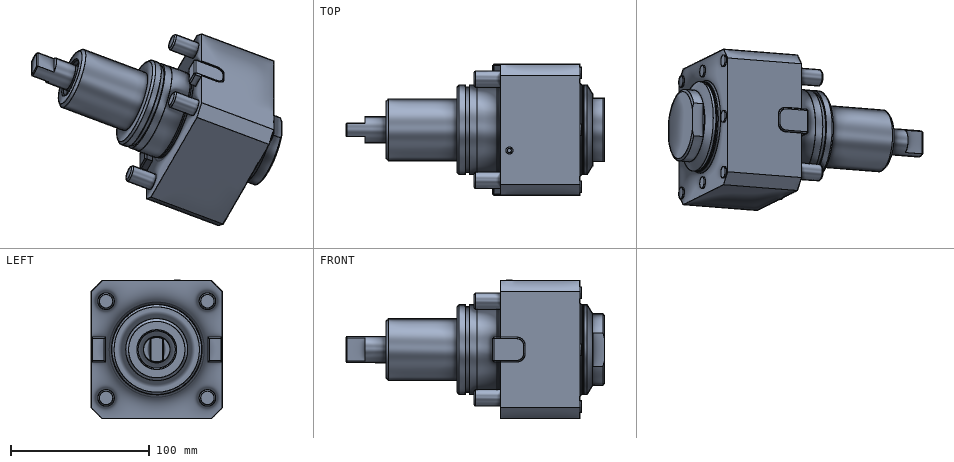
import cadquery as cq


block_x = 111.6
block_length = 57.6
block_width = 95.0
block_height = 100.0
block_chamfer = 8.0
recess_r = 34.5
recess_depth = 0.4
block_end = block_x + block_length

shaft_d = 19.0
journal_d = 19.3
blade_length = 13.7
blade_width = 9.7
blade_chamfer = 0.7

sleeve_x = 28.8
sleeve_r = 22.5
sleeve_chamfer = 2.0
bore_r = 13.5
bore_depth = 3.7
bore_chamfer = 1.0

flange_x = 80.2
flange_r = 32.5
flange_chamfer = 1.7
groove_start = 86.4
groove_end = 89.2
groove_r = 31.0
seat_x = 94.8
seat_r = 32.7
seat_end = 109.4
neck_x = 110.7
neck_r = 32.2

stud_x = 92.5
stud_d = 12.0
stud_chamfer = 1.1
stud_y = 36.7
stud_z = 35.0

key_x = 106.0
key_length = 23.5
key_height = 18.0
key_depth = 10.5
key_corner_r = 6.0
key_chamfer = 1.1

cover_base_r = 33.7
cover_r = 32.5
cover_x = 170.5
slit_x = 171.5
slit_width = 0.7
slit_depth = 0.5
cone_x = 174.5
nut_x = 178.4
nut_r = 26.0
nut_end = 187.0
nut_chamfer_length = 1.1
nut_chamfer_depth = 1.7
flat_x = 178.8
flat_width = 46.0

plug_d = 8.5
plug_height = 1.1
plug_offset = 41.1

nipple_x = 118.2
nipple_y = -15.0
nipple_base_d = 5.0
nipple_top_d = 3.0
nipple_height = 0.4


def cylinder_x(x, radius, length):
    """Solid cylinder on the X axis that starts at x and runs towards +X."""
    return cq.Workplane("YZ", origin=(x, 0, 0)).circle(radius).extrude(length)


def revolve_x(profile):
    """Solid of revolution about X from (x, radius) points, closed along the axis."""
    points = [(profile[0][0], 0)] + profile + [(profile[-1][0], 0)]
    return cq.Workplane("XY").polyline(points).close().revolve(360, (0, 0, 0), (1, 0, 0))


def make_block():
    block = (
        cq.Workplane("YZ", origin=(block_x, 0, 0))
        .rect(block_width, block_height)
        .extrude(block_length)
        .edges("|X")
        .chamfer(block_chamfer)
    )
    shallow_recess = revolve_x([
        (block_x, recess_r),
        (block_x + recess_depth, neck_r),
    ])
    return block.cut(shallow_recess)


def make_shaft():
    blade_stock = cq.Workplane("XY").box(2 * blade_length, blade_width, shaft_d)
    blade = (
        cylinder_x(0, shaft_d / 2, blade_length)
        .intersect(blade_stock)
        .faces("<X")
        .chamfer(blade_chamfer)
    )
    shank = cylinder_x(blade_length, shaft_d / 2, sleeve_x - blade_length)
    journal = cylinder_x(sleeve_x, journal_d / 2, bore_depth)
    return blade.union(shank).union(journal)


def make_sleeve_and_flange():
    body = revolve_x([
        (sleeve_x, sleeve_r - sleeve_chamfer),
        (sleeve_x + sleeve_chamfer, sleeve_r),
        (flange_x, sleeve_r),
        (flange_x, flange_r - flange_chamfer),
        (flange_x + flange_chamfer, flange_r),
        (groove_start, flange_r),
        (groove_start, groove_r),
        (groove_end, groove_r),
        (groove_end, flange_r),
        (seat_x, flange_r),
        (seat_x, seat_r),
        (seat_end, seat_r),
        (neck_x, neck_r),
        (block_x + recess_depth, neck_r),
    ])
    bore = revolve_x([
        (sleeve_x, bore_r + bore_chamfer),
        (sleeve_x + bore_chamfer, bore_r),
        (sleeve_x + bore_depth, bore_r),
    ])
    return body.cut(bore)


def make_studs():
    stud = cylinder_x(stud_x, stud_d / 2, block_x - stud_x).faces("<X").chamfer(stud_chamfer)
    studs = cq.Workplane("XY")
    for y in (-stud_y, stud_y):
        for z in (-stud_z, stud_z):
            studs = studs.add(stud.translate((0, y, z)))
    return studs.combine()


def make_key_blank():
    """Key at the -Y side with sharp edges, which is also the shape of its pocket."""
    return (
        cq.Workplane("XY", origin=(key_x, -block_width / 2, 0))
        .box(key_length, key_depth, key_height, centered=(False, False, True))
        .edges(">X and |Y")
        .fillet(key_corner_r)
    )


def make_cover_and_nut():
    body = revolve_x([
        (block_end, cover_base_r),
        (cover_x, cover_r),
        (slit_x, cover_r),
        (slit_x, cover_r - slit_depth),
        (slit_x + slit_width, cover_r - slit_depth),
        (slit_x + slit_width, cover_r),
        (cone_x, cover_r),
        (nut_x, nut_r),
        (nut_end - nut_chamfer_length, nut_r),
        (nut_end, nut_r - nut_chamfer_depth),
    ])
    nut_length = nut_end - flat_x
    between_flats = (
        cq.Workplane("YZ", origin=(flat_x, 0, 0))
        .rect(flat_width, 2 * nut_r)
        .extrude(nut_length)
    )
    flat_waste = cylinder_x(flat_x, nut_r, nut_length).cut(between_flats)
    return body.cut(flat_waste)


def make_plugs():
    """Plugs at the corners and at the middles of the sides, around the cover."""
    plug = cylinder_x(block_end, plug_d / 2, plug_height)
    plugs = cq.Workplane("XY")
    for row in (-1, 0, 1):
        for column in (-1, 0, 1):
            if row or column:
                plugs = plugs.add(plug.translate((0, column * plug_offset, row * plug_offset)))
    return plugs.combine()


def make_nipple():
    return (
        cq.Workplane("XY", origin=(nipple_x, nipple_y, block_height / 2))
        .circle(nipple_base_d / 2)
        .workplane(offset=nipple_height)
        .circle(nipple_top_d / 2)
        .loft()
    )


key_blank = make_key_blank()
key = key_blank.faces("<Y or <X").chamfer(key_chamfer)

result = make_block()
for pocket in (key_blank, key_blank.mirror("XZ")):
    result = result.cut(pocket)
for side_key in (key, key.mirror("XZ")):
    result = result.union(side_key)
for feature in (
    make_sleeve_and_flange(),
    make_shaft(),
    make_studs(),
    make_cover_and_nut(),
    make_plugs(),
    make_nipple(),
):
    result = result.union(feature)